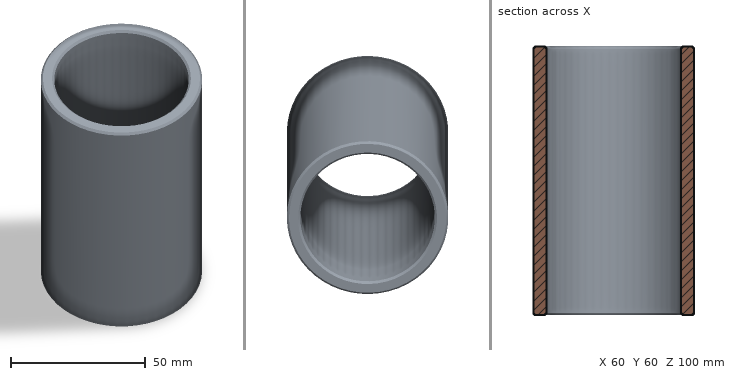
import cadquery as cq

length = 100.0
outer_diameter = 60.0
bore_diameter = 50.0
edge_chamfer = 0.8

sleeve = (
    cq.Workplane("XY")
    .circle(outer_diameter / 2)
    .circle(bore_diameter / 2)
    .extrude(length)
)

result = sleeve.faces("|Z").edges().chamfer(edge_chamfer)